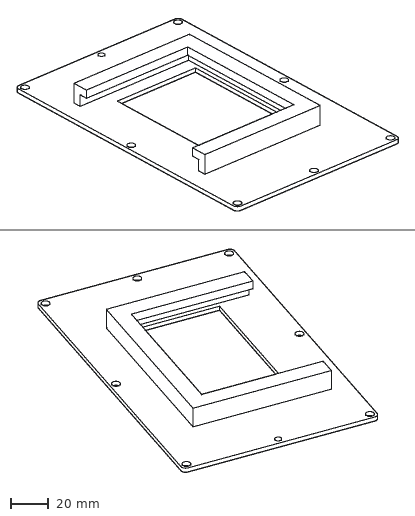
import cadquery as cq

plate_length = 178.6
plate_width = 116.5
plate_thickness = 2.7
corner_radius = 2.7
total_height = 14.6

hole_diameter = 4.6
small_hole_diameter = 3.8
hole_inset = 3.8

holder_left = -55.2
holder_length = 105.4
holder_back = 35.7
holder_depth = 82.2
wall_thickness = 5.0
lip_overhang = 5.0
lip_thickness = 5.0

window_left = -41.5
window_front = -27.7
window_under_lip = 2.1

holder_right = holder_left + holder_length
holder_front = holder_back - holder_depth
rim_width = wall_thickness + lip_overhang
window_right = holder_right - rim_width + window_under_lip
window_back = holder_back - rim_width + window_under_lip


def block(left, right, front, back, bottom, top):
    """Box given by its limits along X, Y and Z."""
    size = (right - left, back - front, top - bottom)
    return cq.Workplane("XY").box(*size, centered=False).translate((left, front, bottom))


def make_plate():
    plate = cq.Workplane("XY").box(
        plate_length, plate_width, plate_thickness, centered=(True, True, False)
    )
    plate = plate.edges("|Z").fillet(corner_radius)
    window = block(window_left, window_right, window_front, window_back, 0, plate_thickness)
    return plate.cut(window)


def drill_holes(plate):
    """Four corner holes and one midway along each side; the -X side hole is smaller."""
    hole_x = plate_length / 2 - hole_inset
    hole_y = plate_width / 2 - hole_inset
    positions = [(x, y) for x in (-hole_x, 0, hole_x) for y in (-hole_y, hole_y)]
    positions.append((hole_x, 0))
    top = plate.faces(">Z").workplane(origin=(0, 0, plate_thickness))
    plate = top.pushPoints(positions).hole(hole_diameter)
    top = plate.faces(">Z").workplane(origin=(0, 0, plate_thickness))
    return top.pushPoints([(-hole_x, 0)]).hole(small_hole_diameter)


def holder_layer(thickness, bottom, top):
    """U-shaped layer of the holder with the given wall thickness."""
    outer = block(holder_left, holder_right, holder_front, holder_back, bottom, top)
    inner = block(
        holder_left + thickness, holder_right - thickness,
        holder_front, holder_back - thickness,
        bottom, top,
    )
    return outer.cut(inner)


def make_holder():
    walls = holder_layer(wall_thickness, plate_thickness, total_height)
    lip = holder_layer(rim_width, total_height - lip_thickness, total_height)
    return walls.union(lip)


result = drill_holes(make_plate()).union(make_holder())